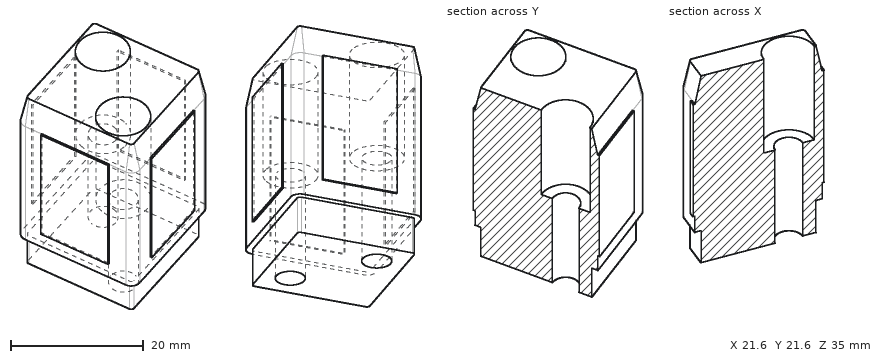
import cadquery as cq
import math

total_height = 35.0
base_height = 6.0
pad_bottom = 9.0
shoulder_height = 30.0

overall_width = 21.6
body_width = 21.0
inset = 1.0
body_corner_radius = 1.5
neck_width = body_width - 2 * inset
neck_corner_radius = body_corner_radius - inset

pad_width = 12.0

hole_offset = 5.0
hole_diameter = 4.5
counterbore_diameter = 8.3
counterbore_depth = 17.5


def rounded_square(width, radius):
    return cq.Sketch().rect(width, width).vertices().fillet(radius)


def prism(width, radius, bottom, top, taper=0):
    section = rounded_square(width, radius)
    return cq.Workplane("XY").workplane(offset=bottom).placeSketch(section).extrude(top - bottom, taper=taper)


cap_taper = math.degrees(math.atan(inset / (total_height - shoulder_height)))
base = prism(neck_width, neck_corner_radius, 0, base_height)
body = prism(body_width, body_corner_radius, base_height, shoulder_height)
cap = prism(body_width, body_corner_radius, shoulder_height, total_height, cap_taper)
result = base.union(body).union(cap)

pad_height = shoulder_height - pad_bottom
for size_x, size_y in [(overall_width, pad_width), (pad_width, overall_width)]:
    pad_bar = cq.Workplane("XY").workplane(offset=pad_bottom).rect(size_x, size_y).extrude(pad_height)
    result = result.union(pad_bar)

hole_centers = [(-hole_offset, hole_offset), (hole_offset, -hole_offset)]
result = (
    result.faces(">Z")
    .workplane(origin=(0, 0, total_height))
    .pushPoints(hole_centers)
    .cboreHole(hole_diameter, counterbore_diameter, counterbore_depth)
)